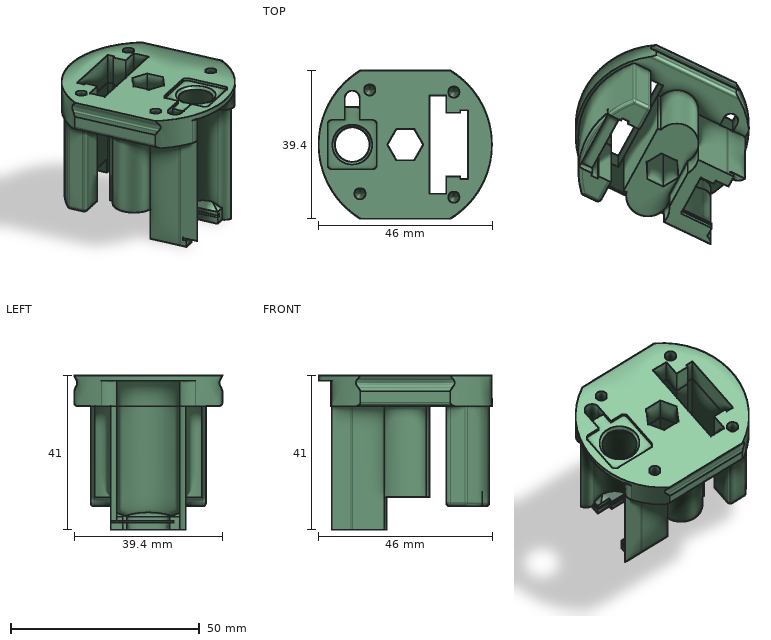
import cadquery as cq
import math


cover_radius = 23
flat_y = 19.7
cover_depth = 8.2
edge_round = 1.0
groove_points = [
    (flat_y, 0),
    (19.25, -0.95),
    (18.9, -2.0),
    (19.27, -3.1),
    (flat_y, -4.2),
]
margin = 4.6
outside_x = -cover_radius - margin

switch_x = -14.08
recess_side = 13.05
recess_corner = 1.2
recess_depth = 0.75
bore_radius = 4.55
bore_chamfer_angle = 45
wire_width = 3.9
wire_end_y = 14.25

chamber_top = 2 * recess_depth
chamber_x = -14.25
chamber_radius = 8.65
mouth_round = 2.7

housing_y = 10.0
housing_x = -4.88
bulge_half_width = 0.2
housing_radius = math.hypot(housing_y, bulge_half_width)
total_depth = 41.0

sill_top = 37.45
sill_block_top = 35.9
sill_y = 5.75
sill_notch_y = 6.8
sill_back_x = -8.5
sill_notch_x = -12.45
sill_end_x = -16.25
sill_far_end_x = -17.65
sill_slope = 20.5
snap_top = 38.5
snap_bottom = 39.1
snap_reach = sill_notch_y - sill_y

tube_radius = 5.75
tube_y = 8.4
block_depth = 32.3
block_x = 6.45
hex_flats = 8.2

slot_steps = [
    (block_x, 10.85, 13.0),
    (10.85, 14.6, 8.4),
    (14.6, 16.55, 9.1),
]
guide_x = slot_steps[0][1]
guide_y = 15.3
guide_radius = 22.25
guide_depth = 34.78
guide_round = 1.0
relief_x = 20.45
relief_y = slot_steps[1][2]
relief_top = 30.9

screw_hole_diameter = 3.0
screw_hole_depth = 4.6
drill_point_angle = 118
screw_hole_places = [(-9.45, 14.5), (12.9, 13.95), (-12.0, -13.0), (12.9, -13.95)]


def box_between(x, y, z):
    """A box from (low, high) pairs along each axis."""
    size = [high - low for low, high in (x, y, z)]
    return cq.Workplane("XY").box(*size, centered=False).translate((x[0], y[0], z[0]))


def cylinder(x, y, radius, top, bottom):
    """An upright cylinder between two depths."""
    return cq.Workplane("XY", origin=(x, y, -bottom)).circle(radius).extrude(bottom - top)


def chamber(top, bottom):
    """Round chamber whose mouth rounds run tangent into the cover's outer wall."""
    center_distance = cover_radius - mouth_round
    touch_distance = chamber_radius + mouth_round
    round_x = (center_distance**2 - touch_distance**2 + chamber_x**2) / (2 * chamber_x)
    round_y = math.sqrt(center_distance**2 - round_x**2)
    inner_share = chamber_radius / touch_distance
    inner = (chamber_x + inner_share * (round_x - chamber_x), inner_share * round_y)
    outer = (round_x * cover_radius / center_distance, round_y * cover_radius / center_distance)
    outside_share = (cover_radius + margin) / cover_radius
    outside = (outer[0] * outside_share, outer[1] * outside_share)
    middle_angle = math.radians(30)
    middle = (
        round_x - mouth_round * math.cos(middle_angle),
        round_y - mouth_round * math.sin(middle_angle),
    )
    return (
        cq.Workplane("XY", origin=(0, 0, -bottom))
        .moveTo(*inner)
        .threePointArc((chamber_x + chamber_radius, 0), (inner[0], -inner[1]))
        .threePointArc((middle[0], -middle[1]), (outer[0], -outer[1]))
        .lineTo(outside[0], -outside[1])
        .lineTo(*outside)
        .lineTo(*outer)
        .threePointArc(middle, inner)
        .close()
        .extrude(bottom - top)
    )


def cover_blank():
    """Round plate cut to the profile of the two grooved flats."""
    round_middle = edge_round * (1 - math.sqrt(0.5))
    profile = cq.Workplane("YZ", origin=(-cover_radius, 0, 0)).moveTo(0, 0).lineTo(*groove_points[0])
    profile = profile.lineTo(*groove_points[1]).threePointArc(*groove_points[2:4]).lineTo(*groove_points[4])
    half = (
        profile.lineTo(flat_y, edge_round - cover_depth)
        .threePointArc(
            (flat_y - round_middle, round_middle - cover_depth),
            (flat_y - edge_round, -cover_depth),
        )
        .lineTo(0, -cover_depth)
        .close()
        .extrude(2 * cover_radius)
    )
    return cylinder(0, 0, cover_radius, 0, cover_depth).intersect(half.union(half.mirror("XZ")))


def hex_socket():
    corner_diameter = hex_flats / math.cos(math.pi / 6)
    return cq.Workplane("XY").polygon(6, corner_diameter).extrude(-total_depth)


def stepped_slot(depth):
    slot = cq.Workplane("XY")
    for start_x, end_x, half_width in slot_steps:
        slot = slot.union(box_between((start_x, end_x), (-half_width, half_width), (-depth, 0)))
    return slot


def wire_slot(depth):
    end_radius = wire_width / 2
    round_y = wire_end_y - end_radius
    sides = (switch_x - end_radius, switch_x + end_radius)
    round_end = cylinder(switch_x, round_y, end_radius, 0, depth)
    return box_between(sides, (0, round_y), (-depth, 0)).union(round_end)


def button_seat():
    """Square recess, wire slot and chamfered bore."""
    half = recess_side / 2
    recess = box_between((switch_x - half, switch_x + half), (-half, half), (-recess_depth, 0))
    recess = recess.edges("|Z").fillet(recess_corner)
    deep_wire = wire_slot(cover_depth).cut(cylinder(chamber_x, 0, housing_radius, 0, cover_depth))
    bore = cq.Workplane("XY", origin=(switch_x, 0, -chamber_top)).circle(bore_radius)
    bore = bore.extrude(chamber_top - recess_depth, taper=-bore_chamfer_angle)
    return recess.union(wire_slot(recess_depth)).union(deep_wire).union(bore)


def screw_hole(x, y):
    """Blind drilled hole with a conical bottom."""
    radius = screw_hole_diameter / 2
    tip = screw_hole_depth + radius / math.tan(math.radians(drill_point_angle / 2))
    outline = [(0, 0), (radius, 0), (radius, -screw_hole_depth), (0, -tip)]
    return cq.Workplane("XZ").polyline(outline).close().revolve().translate((x, y, 0))


def make_cover():
    cover = cover_blank().cut(button_seat()).cut(chamber(chamber_top, cover_depth))
    cover = cover.cut(hex_socket()).cut(stepped_slot(cover_depth))
    for x, y in screw_hole_places:
        cover = cover.cut(screw_hole(x, y))
    return cover


def twin_tubes(depth):
    """The pair of rounds on the Y axis that form the outside of the tube block."""
    tubes = cylinder(0, tube_y, tube_radius, cover_depth, depth)
    return tubes.union(tubes.mirror("XZ"))


def make_tube_block():
    web = box_between((housing_x, block_x), (-housing_y, housing_y), (-block_depth, -cover_depth))
    return twin_tubes(block_depth).union(web).cut(hex_socket())


def sill_opening(bottom):
    """Outline of the switch opening, which leaves the sill as a U with two free ends."""
    outline = [
        (outside_x, -cover_radius),
        (sill_far_end_x, -cover_radius),
        (sill_far_end_x, -sill_y),
        (sill_back_x, -sill_y),
        (sill_back_x, sill_y),
        (sill_notch_x, sill_y),
        (sill_notch_x, sill_notch_y),
        (sill_end_x, sill_notch_y),
        (sill_end_x, cover_radius),
        (outside_x, cover_radius),
    ]
    return cq.Workplane("XY", origin=(0, 0, -bottom)).polyline(outline).close()


def sloped_cut(x_end, y_start, y_end):
    """A flaring cut that leaves the sill's top rising away from the given rectangle."""
    return (
        cq.Workplane("XY", origin=((outside_x + x_end) / 2, (y_start + y_end) / 2, -sill_top))
        .rect(x_end - outside_x, y_end - y_start)
        .extrude(sill_top - sill_block_top, taper=sill_slope - 90)
    )


def chamber_sill():
    """Sill around the switch opening with its top sloping down to every free edge."""
    sill = chamber(sill_block_top, total_depth)
    sill = sill.cut(sill_opening(total_depth).extrude(total_depth - sill_block_top))
    sill = sill.cut(sloped_cut(sill_back_x, -sill_y, sill_y))
    sill = sill.cut(sloped_cut(sill_end_x, 0, cover_radius))
    return sill.cut(sloped_cut(sill_far_end_x, -cover_radius, 0))


def snap_groove():
    """Groove behind the edge of the opening; it runs out through the +Y side."""
    groove = sill_opening(snap_bottom).offset2D(snap_reach, "intersection").extrude(snap_bottom - snap_top)
    return groove.intersect(
        box_between((outside_x, 0), (-sill_notch_y, cover_radius), (-snap_bottom, -snap_top))
    )


def make_switch_housing():
    heights = (-total_depth, -cover_depth)
    round_wall = cylinder(chamber_x, 0, housing_radius, cover_depth, total_depth)
    housing = box_between((-cover_radius, housing_x), (-housing_y, housing_y), heights).union(
        round_wall.intersect(box_between((-cover_radius, housing_x), (-cover_radius, cover_radius), heights))
    )
    housing = housing.intersect(cylinder(0, 0, cover_radius, cover_depth, total_depth))
    housing = housing.cut(chamber(cover_depth, total_depth)).union(chamber_sill())
    side_notch = box_between((-cover_radius, sill_end_x), (0, cover_radius), (-total_depth, -snap_top))
    return housing.cut(side_notch).cut(snap_groove()).cut(twin_tubes(total_depth))


def make_guide():
    """Rounded channel below the rectangular slot, relieved at the lower end of its back wall."""
    guide = cylinder(0, 0, guide_radius, cover_depth, guide_depth).intersect(
        box_between((guide_x, guide_radius), (-guide_y, guide_y), (-guide_depth, -cover_depth))
    )
    guide = guide.edges("|Z").fillet(guide_round).faces("<Z").edges().fillet(guide_round)
    relief = box_between((guide_x, relief_x), (-relief_y, relief_y), (-guide_depth, -relief_top))
    return guide.cut(stepped_slot(guide_depth)).cut(relief)


cover = make_cover()
switch_housing = make_switch_housing()
tube_block = make_tube_block()
guide = make_guide()

result = cq.Compound.makeCompound([cover.val(), switch_housing.val(), tube_block.val(), guide.val()])